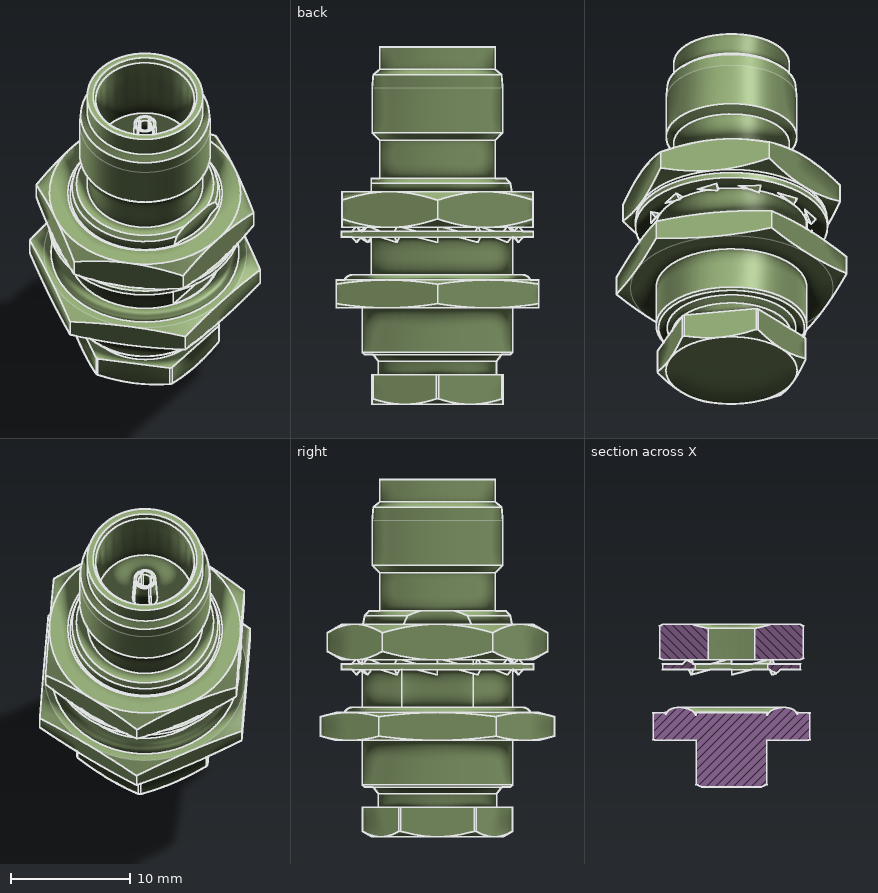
import cadquery as cq
import math

total_height = 30.0
gland_hex_top = 2.5
neck_top = 3.63
thread_bottom = 4.17
thread_bottom_chamfer = 0.2
flange_bottom = 8.1
flange_top = 10.45
seal_top = 10.9
nut_bottom = 14.85
nut_top = 17.85
thread_lead_bottom = 17.5
thread_lead_top = 18.57
thread_top = 18.95
collar_bottom = 22.17
collar_full_bottom = 22.8
collar_full_top = 26.58
collar_shoulder = 27.65
collar_top = 28.1

gland_flats = 11.0
neck_radius = 4.98
neck_cone_radius = 5.4
thread_radius = 6.33
gland_corner_radius = 6.3
thread_lead_radius = 6.12
thread_tip_radius = 5.75
thread_flat_x = 5.58
flange_flats = 17.0
tube_radius = 4.85
collar_radius = 5.5
collar_shoulder_radius = 5.4
seal_cord_radius = 0.78
gland_bevel_angle = 30.0
flange_bevel_angle = 15.0

mouth_radius = 4.35
mouth_depth = 0.4
bore_radius = 4.15
bore_floor_radius = 4.05
bore_depth = 6.6

contact_top = 26.55
contact_radius = 1.05
contact_tip_radius = 0.9
contact_mouth_radius = 0.75
contact_hole_radius = 0.55
contact_slot_width = 0.18
contact_slot_count = 2

nut_flats = 16.05
nut_bevel_angle = 30.0
nut_bore_radius = 5.9
nut_mouth_radius = 6.48
nut_mouth_depth = 0.33

washer_bottom = 14.05
washer_thickness = 0.48
washer_radius = 8.07
washer_bore_radius = 6.35
tooth_count = 12
tooth_tip_radius = 6.78
tooth_base_outer_radius = 7.2
tooth_base_inner_radius = 6.4
tooth_height = 0.45
tooth_run = 1.77


def turned(profile):
    """Solid of revolution about Z from (radius, height) points."""
    return cq.Workplane("XZ").polyline(profile).close().revolve(360, (0, 0), (0, 1))


def hex_prism(flats, bottom, top):
    """Hexagonal prism with two flats facing +X and -X."""
    corner_diameter = flats / math.cos(math.pi / 6)
    return (
        cq.Workplane("XY", origin=(0, 0, bottom))
        .polygon(6, corner_diameter)
        .extrude(top - bottom)
        .rotate((0, 0, 0), (0, 0, 1), 30)
    )


def corner_bevel(flats, angle, bottom, top, bevel_top=True):
    """Double-cone envelope that bevels the corners of a hexagonal prism."""
    inner = flats / 2
    outer = flats / math.cos(math.pi / 6) ** 2 / 2
    drop = (outer - inner) * math.tan(math.radians(angle))
    profile = [(0, bottom), (inner, bottom), (outer, bottom + drop)]
    if bevel_top:
        profile += [(outer, top - drop), (inner, top)]
    else:
        profile += [(outer, top)]
    return turned(profile + [(0, top)])


def make_turned_body():
    """Neck, threaded barrel, coupling collar and tube turned about Z."""
    return turned([
        (0, gland_hex_top),
        (neck_radius, gland_hex_top),
        (neck_radius, neck_top),
        (neck_cone_radius, thread_bottom),
        (thread_radius - thread_bottom_chamfer, thread_bottom),
        (thread_radius, thread_bottom + thread_bottom_chamfer),
        (thread_radius, thread_lead_bottom),
        (thread_lead_radius, thread_lead_top),
        (thread_tip_radius, thread_top),
        (tube_radius, thread_top),
        (tube_radius, collar_bottom),
        (collar_radius, collar_full_bottom),
        (collar_radius, collar_full_top),
        (collar_shoulder_radius, collar_shoulder),
        (tube_radius, collar_top),
        (tube_radius, total_height),
        (0, total_height),
    ])


def make_thread_flat():
    """Material removed to leave the flat on the +X side of the thread."""
    depth = thread_radius - thread_flat_x
    height = thread_top - flange_top
    block = cq.Workplane("XY", origin=(thread_flat_x, 0, flange_top))
    return block.box(depth, 2 * thread_radius, height, centered=(False, True, False))


def make_flange():
    """Hexagonal flange with a half-round sealing bead rising from a groove in its top."""
    flange = hex_prism(flange_flats, flange_bottom, flange_top)
    flange = flange.intersect(corner_bevel(flange_flats, flange_bevel_angle, flange_bottom, flange_top))
    groove_floor = seal_top - seal_cord_radius
    cord_centre_radius = thread_radius + seal_cord_radius
    seal_outer_radius = thread_radius + 2 * seal_cord_radius
    groove = (
        cq.Workplane("XY", origin=(0, 0, groove_floor))
        .circle(seal_outer_radius)
        .circle(thread_radius)
        .extrude(flange_top - groove_floor)
    )
    bead = (
        cq.Workplane("XZ")
        .moveTo(thread_radius, groove_floor)
        .threePointArc((cord_centre_radius, seal_top), (seal_outer_radius, groove_floor))
        .close()
        .revolve(360, (0, 0), (0, 1))
    )
    return flange.cut(groove).union(bead)


def make_gland_hex():
    """Hexagonal end with rounded corners, bevelled at the bottom only."""
    gland = hex_prism(gland_flats, 0, gland_hex_top)
    gland = gland.intersect(cq.Workplane("XY").circle(gland_corner_radius).extrude(gland_hex_top))
    return gland.intersect(corner_bevel(gland_flats, gland_bevel_angle, 0, gland_hex_top, bevel_top=False))


def make_socket():
    """Slightly tapered socket with a conical mouth."""
    floor = total_height - bore_depth
    return turned([
        (0, floor),
        (bore_floor_radius, floor),
        (bore_radius, total_height - mouth_depth),
        (mouth_radius, total_height),
        (0, total_height),
    ])


def make_contact():
    """Slotted, tapered tubular contact standing on the floor of the socket."""
    floor = total_height - bore_depth
    mouth_bottom = contact_top - (contact_mouth_radius - contact_hole_radius)
    contact = turned([
        (contact_hole_radius, floor),
        (contact_radius, floor),
        (contact_tip_radius, contact_top),
        (contact_mouth_radius, contact_top),
        (contact_hole_radius, mouth_bottom),
    ])
    slot_length = 2 * contact_radius
    slot = cq.Workplane("XY", origin=(0, 0, floor)).rect(slot_length, contact_slot_width)
    slot = slot.extrude(contact_top - floor)
    for index in range(contact_slot_count):
        contact = contact.cut(slot.rotate((0, 0, 0), (0, 0, 1), index * 180 / contact_slot_count))
    return contact


def make_housing():
    """Connector housing: turned body, flange, gland hexagon, socket and contact."""
    barrel = make_turned_body().cut(make_thread_flat())
    housing = barrel.union(make_flange()).union(make_gland_hex())
    return housing.cut(make_socket()).union(make_contact())


def make_nut(housing):
    """Hexagonal nut whose bore matches the thread and its flat."""
    nut = hex_prism(nut_flats, nut_bottom, nut_top)
    nut = nut.intersect(corner_bevel(nut_flats, nut_bevel_angle, nut_bottom, nut_top))
    bore = turned([
        (0, nut_bottom),
        (nut_bore_radius, nut_bottom),
        (nut_bore_radius, nut_top - nut_mouth_depth),
        (nut_mouth_radius, nut_top),
        (0, nut_top),
    ])
    return nut.cut(bore).cut(housing)


def make_tooth(base_height, direction):
    """Pyramid tooth at the -Y side: a steep face at X = 0 and a ridge falling away along X."""
    apex = cq.Vector(0, -tooth_tip_radius, base_height + direction * tooth_height)
    outer = cq.Vector(0, -tooth_base_outer_radius, base_height)
    inner = cq.Vector(0, -tooth_base_inner_radius, base_height)
    run_out_y = -math.sqrt(tooth_tip_radius**2 - tooth_run**2)
    run_out = cq.Vector(direction * tooth_run, run_out_y, base_height)
    triangles = [(outer, inner, apex), (outer, inner, run_out), (outer, apex, run_out), (inner, apex, run_out)]
    faces = [cq.Face.makeFromWires(cq.Wire.makePolygon(list(corners), close=True)) for corners in triangles]
    return cq.Workplane(cq.Solid.makeSolid(cq.Shell.makeShell(faces)))


def make_washer(housing, nut):
    """Lock washer with twisted teeth on both faces, the upper tips pressed flat by the nut."""
    washer_top = washer_bottom + washer_thickness
    washer = cq.Workplane("XY", origin=(0, 0, washer_bottom)).circle(washer_radius).circle(washer_bore_radius)
    washer = washer.extrude(washer_thickness)
    for base_height, direction in ((washer_top, 1), (washer_bottom, -1)):
        tooth = make_tooth(base_height, direction)
        for index in range(tooth_count):
            washer = washer.union(tooth.rotate((0, 0, 0), (0, 0, 1), index * 360 / tooth_count))
    return washer.cut(nut).cut(housing)


housing = make_housing()
nut = make_nut(housing)
washer = make_washer(housing, nut)

result = cq.Compound.makeCompound([housing.solids().val(), nut.solids().val(), washer.solids().val()])